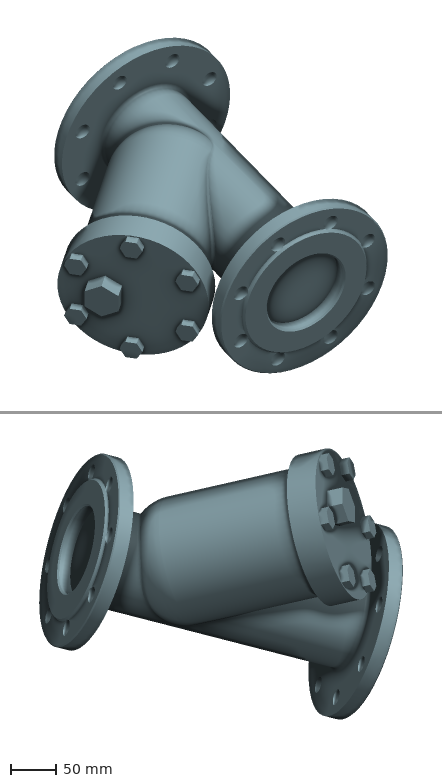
import cadquery as cq
import math

face_to_face = 350.0
pipe_diameter = 112.0
pipe_fillet = 4.2
flange_diameter = 220.0
flange_thickness = 17.5
flange_chamfer = 1.5
raised_face_height = 3.5
raised_face_diameter = 158.2
raised_face_base_diameter = 163.8
bore_diameter = 100.0
bore_depth = 15.0
bore_chamfer = 1.8

hole_count = 8
hole_circle_diameter = 180.0
hole_diameter = 18.2

branch_angle = 45.0
branch_origin_x = -87.5
branch_diameter = 145.0
dome_start = 40.2
dome_radius = 50.8
blend_radius = 2.8

cover_end = 231.0
cover_thickness = 34.0
cover_diameter = 171.0
cover_fillet = 2.8

bolt_count = 6
bolt_circle_diameter = 145.5
bolt_across_flats = 22.0
bolt_head_height = 9.5
plug_across_flats = 38.0
plug_height = 18.2
plug_offset = 31.5

flange_front = face_to_face / 2 - raised_face_height
flange_back = flange_front - flange_thickness
pipe_end = flange_back - pipe_fillet
cover_start = cover_end - cover_thickness
angle = math.radians(branch_angle)
branch_direction = cq.Vector(math.cos(angle), -math.sin(angle), 0)
across_branch = cq.Vector(math.sin(angle), math.cos(angle), 0)


def point_on_branch(distance):
    """Point on the branch axis."""
    return cq.Vector(branch_origin_x, 0, 0) + branch_direction * distance


def branch_plane(distance):
    """Plane across the branch: local x lies in the XY plane, local y is +Z."""
    return cq.Plane(point_on_branch(distance), across_branch, branch_direction)


def fillet_middle(radius):
    """Distance of a concave quarter arc's midpoint from each of its two walls."""
    return radius * (1 - math.sqrt(0.5))


def across_corners(across_flats):
    """Corner-to-corner size of a hexagon."""
    return across_flats / math.cos(math.pi / 6)


def make_flange():
    """Right-hand flange, turned about the X axis with its fillet onto the pipe."""
    pipe_radius = pipe_diameter / 2
    flange_radius = flange_diameter / 2
    fillet_mid = fillet_middle(pipe_fillet)
    profile = (
        cq.Workplane("XY")
        .moveTo(pipe_end, 0)
        .lineTo(pipe_end, pipe_radius)
        .threePointArc(
            (flange_back - fillet_mid, pipe_radius + fillet_mid),
            (flange_back, pipe_radius + pipe_fillet),
        )
        .lineTo(flange_back, flange_radius)
        .lineTo(flange_front - flange_chamfer, flange_radius)
        .lineTo(flange_front, flange_radius - flange_chamfer)
        .lineTo(flange_front, raised_face_base_diameter / 2)
        .lineTo(face_to_face / 2, raised_face_diameter / 2)
        .lineTo(face_to_face / 2, 0)
        .close()
    )
    flange = profile.revolve(360, (0, 0, 0), (1, 0, 0))

    bore = (
        cq.Workplane("YZ", origin=(face_to_face / 2 - bore_depth, 0, 0))
        .circle(bore_diameter / 2)
        .extrude(bore_depth)
    )
    flange = flange.cut(bore)
    bore_rim = cq.selectors.RadiusNthSelector(0)
    flange = flange.faces(">X").edges(bore_rim).chamfer(bore_chamfer)

    holes = (
        cq.Workplane("YZ", origin=(flange_back, 0, 0))
        .polarArray(hole_circle_diameter / 2, 180 / hole_count, 360, hole_count)
        .circle(hole_diameter / 2)
        .extrude(flange_thickness + raised_face_height)
    )
    return flange.cut(holes)


def make_pipe():
    """Plain pipe between the flange fillets."""
    return (
        cq.Workplane("YZ", origin=(-pipe_end, 0, 0))
        .circle(pipe_diameter / 2)
        .extrude(2 * pipe_end)
    )


def make_branch():
    """Branch barrel with its inner end rounded over."""
    barrel_start = dome_start - dome_radius
    inner_end = cq.selectors.DirectionMinMaxSelector(branch_direction, directionMax=False)
    return (
        cq.Workplane(branch_plane(barrel_start))
        .circle(branch_diameter / 2)
        .extrude(cover_start - barrel_start)
        .faces(inner_end)
        .edges()
        .fillet(dome_radius)
    )


def make_cover():
    """Round cover, turned about the branch axis with its fillet onto the barrel."""
    barrel_radius = branch_diameter / 2
    fillet_mid = fillet_middle(cover_fillet)
    profile_plane = cq.Plane(
        point_on_branch(cover_start), across_branch, across_branch.cross(branch_direction)
    )
    profile = (
        cq.Workplane(profile_plane)
        .moveTo(0, -cover_fillet)
        .lineTo(barrel_radius, -cover_fillet)
        .threePointArc((barrel_radius + fillet_mid, -fillet_mid), (barrel_radius + cover_fillet, 0))
        .lineTo(cover_diameter / 2, 0)
        .lineTo(cover_diameter / 2, cover_thickness)
        .lineTo(0, cover_thickness)
        .close()
    )
    return profile.revolve(360, (0, 0, 0), (0, 1, 0))


def make_cover_bolts():
    """Hexagonal bolt heads with flats facing up and down."""
    return (
        cq.Workplane(branch_plane(cover_end))
        .polarArray(bolt_circle_diameter / 2, 90, 360, bolt_count, rotate=False)
        .polygon(6, across_corners(bolt_across_flats))
        .extrude(bolt_head_height)
    )


def make_drain_plug():
    """Hexagonal plug with corners up and down, set off the cover centre."""
    return (
        cq.Workplane(branch_plane(cover_end))
        .center(-plug_offset, 0)
        .transformed(rotate=(0, 0, 90))
        .polygon(6, across_corners(plug_across_flats))
        .extrude(plug_height)
    )


body = make_pipe().union(make_branch())
body = body.edges("%BSPLINE").fillet(blend_radius)

flange = make_flange()
result = (
    body.union(flange)
    .union(flange.mirror("YZ"))
    .union(make_cover())
    .union(make_cover_bolts())
    .union(make_drain_plug())
)